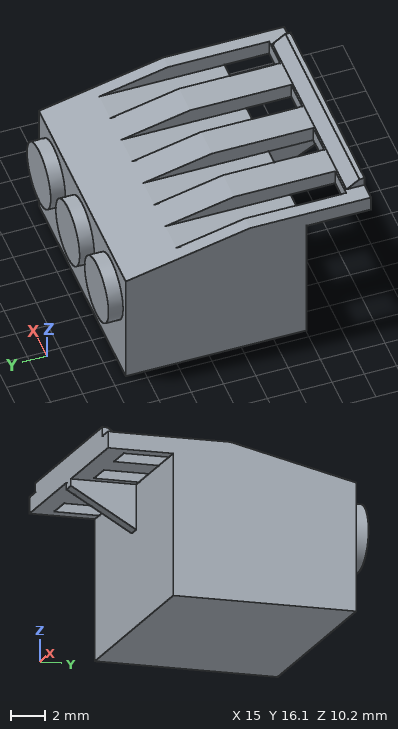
import cadquery as cq

width = 15.0
block_depth = 11.2
overhang = 4.0
slab_top = 9.6
slab_thickness = 1.0
slab_bottom = slab_top - slab_thickness
back_height = 7.8
slope_length = 7.7

lip_width = 12.78
lip_height = 0.56
lip_depth = 1.13
lip_top_depth = 0.32

slot_count = 4
slot_width = 1.9
slot_pitch = 2 * slot_width
slot_front_wall = 1.24

rib_width = 0.85
rib_front_height = 0.42
rib_wall_height = 2.74

boss_count = 3
boss_diameter = 4.1
boss_length = 0.9
boss_pitch = 4.99
boss_height = 5.1

wall_y = overhang
back_y = overhang + block_depth
slope_start_y = back_y - slope_length

slope_per_length = (slab_top - back_height) / slope_length
slot_back_y = slope_start_y + slab_thickness / slope_per_length


def extrude_across(profile, thickness):
    """Extrude a closed (y, z) profile along X, centred on x = 0."""
    return cq.Workplane("YZ").polyline(profile).close().extrude(thickness / 2, both=True)


def spaced(count, pitch):
    """X positions of evenly spaced features centred on x = 0."""
    return [(i - (count - 1) / 2) * pitch for i in range(count)]


def make_body():
    """Block with a sloping roof and a slab overhanging its front wall."""
    profile = [
        (wall_y, 0),
        (back_y, 0),
        (back_y, back_height),
        (slope_start_y, slab_top),
        (0, slab_top),
        (0, slab_bottom),
        (wall_y, slab_bottom),
    ]
    return extrude_across(profile, width)


def make_slots():
    """Straight cutters that open the slab and leave a level floor on the block."""
    slot_length = slot_back_y - slot_front_wall
    return (
        cq.Workplane("XY", origin=(0, slot_front_wall + slot_length / 2, slab_bottom))
        .pushPoints([(x, 0) for x in spaced(slot_count, slot_pitch)])
        .rect(slot_width, slot_length)
        .extrude(slab_thickness)
    )


def make_lip():
    """Low ridge on the front edge with a chamfered rear side."""
    lip_top = slab_top + lip_height
    profile = [(0, slab_top), (lip_depth, slab_top), (lip_top_depth, lip_top), (0, lip_top)]
    return extrude_across(profile, lip_width)


def make_rib():
    """Sloping support rib between the front wall and the overhanging slab."""
    profile = [
        (0, slab_bottom),
        (wall_y, slab_bottom),
        (wall_y, slab_bottom - rib_wall_height),
        (0, slab_bottom - rib_front_height),
    ]
    return extrude_across(profile, rib_width)


def make_bosses():
    """Row of short round bosses on the back face."""
    return (
        cq.Workplane("XZ", origin=(0, back_y, boss_height))
        .pushPoints([(x, 0) for x in spaced(boss_count, boss_pitch)])
        .circle(boss_diameter / 2)
        .extrude(-boss_length)
    )


result = make_body().cut(make_slots()).union(make_lip()).union(make_rib()).union(make_bosses())